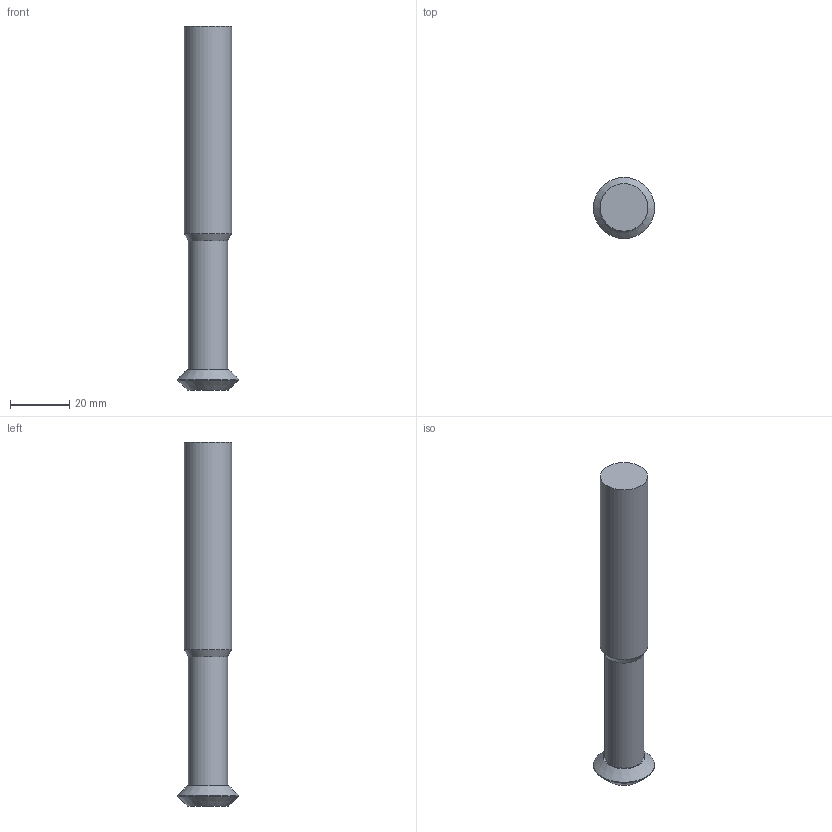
import cadquery as cq
import math

total_length = 122.65
body_diameter = 16.0
body_length = 70.0
neck_diameter = 13.2
shoulder_angle = 30.0

rim_diameter = 20.59
rim_width = 0.3
head_end_diameter = 14.0
flank_angle = 45.0

body_radius = body_diameter / 2
neck_radius = neck_diameter / 2
rim_radius = rim_diameter / 2
head_end_radius = head_end_diameter / 2


def cone_height(large_radius, small_radius, angle):
    """Height of a cone between two radii, with the flank angle measured from the axis."""
    return (large_radius - small_radius) / math.tan(math.radians(angle))


rim_bottom = cone_height(rim_radius, head_end_radius, flank_angle)
rim_top = rim_bottom + rim_width
head_top = rim_top + rim_bottom
body_bottom = total_length - body_length
neck_top = body_bottom - cone_height(body_radius, neck_radius, shoulder_angle)


def make_pin():
    """Revolve the half profile of (radius, height) points about the Z axis."""
    profile = [
        (0, 0),
        (head_end_radius, 0),
        (rim_radius, rim_bottom),
        (rim_radius, rim_top),
        (head_end_radius, head_top),
        (neck_radius, head_top),
        (neck_radius, neck_top),
        (body_radius, body_bottom),
        (body_radius, total_length),
        (0, total_length),
    ]
    axis_start = (0, 0)
    axis_end = (0, 1)
    return cq.Workplane("XZ").polyline(profile).close().revolve(360, axis_start, axis_end)


result = make_pin()